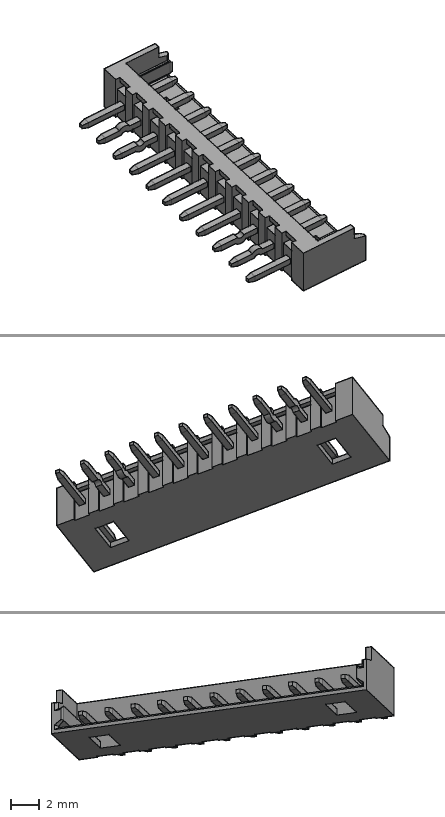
import cadquery as cq


PIN_COUNT = 11
PITCH = 2.0
PIN_SIZE = 0.5
PIN_CENTRE_Z = 1.5
PIN_FRONT_Y = -3.5
PIN_REAR_Y = 4.9
PIN_TIP_SIZE = 0.3
PIN_TIP_LENGTH = 0.5

KINK_CENTRE_Y = -1.3
KINK_BUMP_CHORD = 0.9
KINK_BUMP_HEIGHT = 0.22
KINK_DIP_CHORD = 0.56
KINK_DIP_DEPTH = 0.17
KINK_DIRECTIONS = {1: 1, 2: -1, PIN_COUNT - 3: -1, PIN_COUNT - 2: 1}

END_MARGIN = 2.0
LENGTH = (PIN_COUNT - 1) * PITCH + 2 * END_MARGIN
DEPTH = 5.5
HEIGHT = 3.65
WALL_STEP_Y = 4.5
WALL_STEP_Z = 2.62
WALL_REAR_Z = 2.34

BACK_WALL = 1.6
SIDE_WALL = 0.45
FLOOR_Z = 0.5
LEAD_IN_LENGTH = 0.3
LEAD_IN_WIDTH = 0.22
RIB_LEAD_IN_WIDTH = 0.08
RIB_SHOULDER = 0.15
RIB_WIDTH = 0.38
RIB_SHOULDER_Z = 1.95
RIB_CREST_Z = 2.1
RIB_UNDERSIDE_Z = 1.0

WINDOW_WIDTH = PITCH - PIN_SIZE
WINDOW_REAR_Y = 3.85

GROOVE_WIDTH = 1.2
GROOVE_DEPTH = 0.15
GROOVE_TOP_DEPTH = 0.37
GROOVE_POCKET_DEPTH = 0.75
POCKET_BOTTOM_Z = 2.64
POCKET_TOP_Z = 3.22

OVERCUT = 1.0


def pin_x(index):
    """X position of a pin, counted from the -X end."""
    return (index - (PIN_COUNT - 1) / 2) * PITCH


def yz_prism(profile, centre_x, width):
    """Extrude a closed YZ workplane profile symmetrically about centre_x."""
    return profile.extrude(width / 2, both=True).translate((centre_x, 0, 0))


def housing_block():
    outline = (
        cq.Workplane("YZ")
        .moveTo(0, 0)
        .lineTo(DEPTH, 0)
        .lineTo(DEPTH, WALL_REAR_Z)
        .lineTo(WALL_STEP_Y, WALL_STEP_Z)
        .lineTo(WALL_STEP_Y, HEIGHT)
        .lineTo(0, HEIGHT)
        .close()
    )
    return yz_prism(outline, 0, LENGTH)


def cavity_section(y, growth, rib_growth):
    """Cavity cross-section at a given Y, enlarged by growth, with the ribs set back by rib_growth."""
    inner_x = LENGTH / 2 - SIDE_WALL
    wall_x = inner_x + growth
    shoulder_x = inner_x - RIB_SHOULDER
    rib_x = inner_x - RIB_WIDTH + rib_growth
    floor_z = FLOOR_Z - growth
    half = [
        (wall_x, floor_z),
        (wall_x, RIB_UNDERSIDE_Z - RIB_WIDTH),
        (rib_x, RIB_UNDERSIDE_Z),
        (rib_x, RIB_CREST_Z - growth),
        (shoulder_x, RIB_SHOULDER_Z - growth),
        (wall_x, RIB_SHOULDER_Z - growth),
        (wall_x, HEIGHT + OVERCUT),
    ]
    mirrored = [(-x, z) for x, z in reversed(half)]
    return cq.Workplane("XZ", origin=(0, y, 0)).polyline(half + mirrored).close()


def mating_cavity():
    lead_in_y = DEPTH - LEAD_IN_LENGTH
    chamber = cavity_section(BACK_WALL, 0, 0).extrude(-(lead_in_y - BACK_WALL))
    inner = cavity_section(lead_in_y, 0, 0).wires().val()
    outer = cavity_section(DEPTH, LEAD_IN_WIDTH, RIB_LEAD_IN_WIDTH).wires().val()
    lead_in = cq.Solid.makeLoft([inner, outer], True)
    return chamber.union(cq.Workplane(lead_in))


def floor_window(centre_x):
    return (
        cq.Workplane("XY")
        .box(WINDOW_WIDTH, WINDOW_REAR_Y - BACK_WALL, FLOOR_Z + OVERCUT, centered=(True, False, False))
        .translate((centre_x, BACK_WALL, -OVERCUT))
    )


def pin_groove(centre_x):
    outline = (
        cq.Workplane("YZ")
        .moveTo(-OVERCUT, -OVERCUT)
        .lineTo(GROOVE_DEPTH, -OVERCUT)
        .lineTo(GROOVE_DEPTH, POCKET_BOTTOM_Z)
        .lineTo(GROOVE_POCKET_DEPTH, POCKET_BOTTOM_Z)
        .lineTo(GROOVE_POCKET_DEPTH, POCKET_TOP_Z)
        .lineTo(GROOVE_TOP_DEPTH, POCKET_TOP_Z)
        .lineTo(GROOVE_TOP_DEPTH, HEIGHT + OVERCUT)
        .lineTo(-OVERCUT, HEIGHT + OVERCUT)
        .close()
    )
    return yz_prism(outline, centre_x, GROOVE_WIDTH)


def pin_tip(base_y, end_y):
    """Tapered pin end between its full-size base and its small end face."""
    base = cq.Workplane("XZ", origin=(0, base_y, PIN_CENTRE_Z)).rect(PIN_SIZE, PIN_SIZE)
    end = cq.Workplane("XZ", origin=(0, end_y, PIN_CENTRE_Z)).rect(PIN_TIP_SIZE, PIN_TIP_SIZE)
    return cq.Workplane(cq.Solid.makeLoft([base.wires().val(), end.wires().val()], True))


def kink_segment(surface_z, chord, rise):
    """Circular segment across the pin, standing on surface_z and rising by a signed amount."""
    outline = (
        cq.Workplane("YZ")
        .moveTo(KINK_CENTRE_Y - chord / 2, surface_z)
        .threePointArc((KINK_CENTRE_Y, surface_z + rise), (KINK_CENTRE_Y + chord / 2, surface_z))
        .close()
    )
    return yz_prism(outline, 0, PIN_SIZE)


def pin(kink_direction):
    """Pin centred on X = 0; kink_direction is 1 for up, -1 for down and 0 for straight."""
    front_y = PIN_FRONT_Y + PIN_TIP_LENGTH
    rear_y = PIN_REAR_Y - PIN_TIP_LENGTH
    body = cq.Workplane("XY").box(PIN_SIZE, rear_y - front_y, PIN_SIZE)
    body = body.translate((0, (front_y + rear_y) / 2, PIN_CENTRE_Z))
    body = body.union(pin_tip(front_y, PIN_FRONT_Y)).union(pin_tip(rear_y, PIN_REAR_Y))
    if kink_direction:
        half = kink_direction * PIN_SIZE / 2
        bump = kink_segment(PIN_CENTRE_Z + half, KINK_BUMP_CHORD, kink_direction * KINK_BUMP_HEIGHT)
        dip = kink_segment(PIN_CENTRE_Z - half, KINK_DIP_CHORD, kink_direction * KINK_DIP_DEPTH)
        body = body.union(bump).cut(dip)
    return body


housing = housing_block().cut(mating_cavity())

window_x = pin_x(PIN_COUNT - 1) - PITCH / 2
for side in (-1, 1):
    housing = housing.cut(floor_window(side * window_x))

for i in range(PIN_COUNT):
    housing = housing.cut(pin_groove(pin_x(i)))

result = housing
for i in range(PIN_COUNT):
    result = result.union(pin(KINK_DIRECTIONS.get(i, 0)).translate((pin_x(i), 0, 0)))